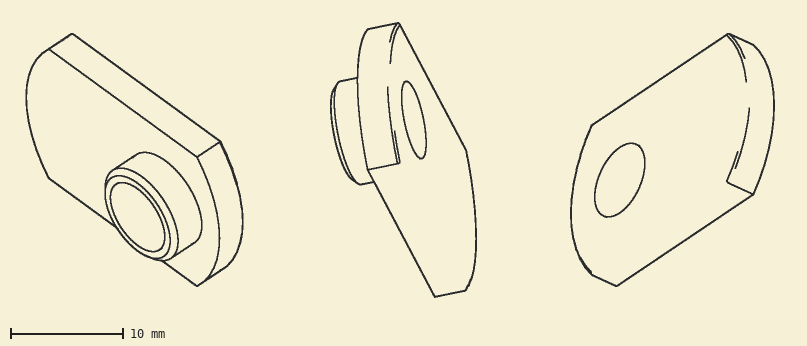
import cadquery as cq

plate_diameter = 24.92
plate_height = 16.0
plate_thickness = 3.0
back_edge_radius = 0.2

overall_depth = 6.4
boss_height = overall_depth - plate_thickness
boss_diameter = 9.4
boss_offset = 5.48
boss_chamfer = 0.5
bore_diameter = 7.0


def make_plate():
    """Plate from Y = 0 back to +Y, with its back rim rounded."""
    disc = cq.Workplane("XZ").circle(plate_diameter / 2).extrude(-plate_thickness)
    flats = cq.Workplane("XZ").rect(plate_diameter, plate_height).extrude(-plate_thickness)
    return disc.intersect(flats).faces(">Y").edges().fillet(back_edge_radius)


def make_boss():
    """Boss from Y = 0 toward -Y, with its free rim chamfered."""
    boss = cq.Workplane("XZ").center(boss_offset, 0).circle(boss_diameter / 2).extrude(boss_height)
    return boss.faces("<Y").edges().chamfer(boss_chamfer)


def make_bore():
    """Through bore, concentric with the boss."""
    bore = cq.Workplane("XZ", origin=(0, -boss_height, 0)).center(boss_offset, 0)
    return bore.circle(bore_diameter / 2).extrude(-overall_depth)


result = make_plate().union(make_boss()).cut(make_bore())